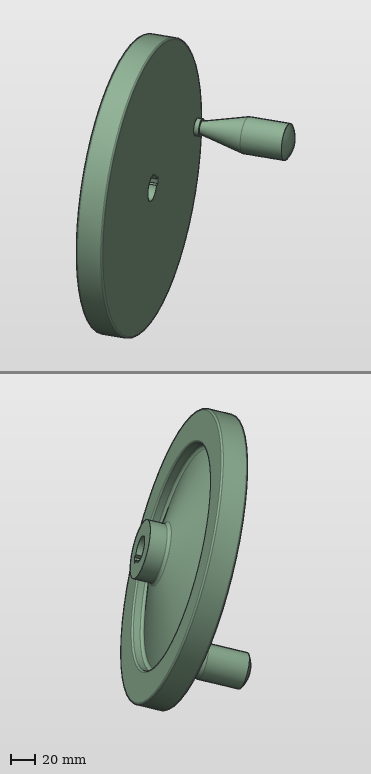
import cadquery as cq
import math


wheel_radius = 250.0 / 2
rim_front_x = 26.5
rim_back_x = 49.7
rim_edge_fillet = 1.5

dish_radius = 192.6 / 2
web_slope_degrees = 16
dish_corner_fillet = 2.5

hub_radius = 50.0 / 2
hub_length = 16.8
hub_root_fillet = 3.0
bore_diameter = 22.0
keyway_width = 6.0
keyway_reach = 14.0

handle_offset = 110.8
collar_radius = 14.8 / 2
collar_end_x = 54.0
neck_radius = 5.5
grip_radius = 31.0 / 2
grip_start_x = 93.0
grip_end_x = 128.5
handle_tip_x = 133.9


def revolve_about_x(profile):
    return profile.close().revolve(360, (0, 0, 0), (1, 0, 0))


def fillet_circle(body, x, radius, fillet):
    """Round the circular edge about the X axis at the given place and radius."""
    margin = 0.13
    edge_zone = cq.selectors.BoxSelector(
        (x - margin, -radius - margin, -radius - margin),
        (x + margin, radius + margin, radius + margin),
        boundingbox=True,
    )
    inner_zone = cq.selectors.BoxSelector(
        (x - margin, -radius + margin, -radius + margin),
        (x + margin, radius - margin, radius - margin),
        boundingbox=True,
    )
    return body.edges(edge_zone - inner_zone).fillet(fillet)


def make_wheel():
    web_slope = math.tan(math.radians(web_slope_degrees))
    dish_floor_x = hub_length + (dish_radius - hub_radius) * web_slope
    profile = (
        cq.Workplane("XY")
        .moveTo(0, 0)
        .lineTo(0, hub_radius)
        .lineTo(hub_length, hub_radius)
        .lineTo(dish_floor_x, dish_radius)
        .lineTo(rim_front_x, dish_radius)
        .lineTo(rim_front_x, wheel_radius)
        .lineTo(rim_back_x, wheel_radius)
        .lineTo(rim_back_x, 0)
    )
    wheel = revolve_about_x(profile)
    rounded_circles = (
        (hub_length, hub_radius, hub_root_fillet),
        (dish_floor_x, dish_radius, dish_corner_fillet),
        (rim_front_x, dish_radius, rim_edge_fillet),
        (rim_front_x, wheel_radius, rim_edge_fillet),
        (rim_back_x, wheel_radius, rim_edge_fillet),
    )
    for x, radius, fillet in rounded_circles:
        wheel = fillet_circle(wheel, x, radius, fillet)
    return wheel


def make_bore():
    bore = cq.Workplane("YZ").circle(bore_diameter / 2).extrude(rim_back_x)
    keyway = cq.Workplane("XY").box(
        rim_back_x, keyway_reach, keyway_width, centered=(False, False, True)
    )
    return bore.union(keyway)


def make_handle():
    cap_height = handle_tip_x - grip_end_x
    cap_radius = (grip_radius**2 + cap_height**2) / (2 * cap_height)
    half_angle = math.asin(grip_radius / cap_radius) / 2
    cap_middle = (
        handle_tip_x - cap_radius * (1 - math.cos(half_angle)),
        cap_radius * math.sin(half_angle),
    )
    profile = (
        cq.Workplane("XY")
        .moveTo(rim_back_x, 0)
        .lineTo(rim_back_x, collar_radius)
        .lineTo(collar_end_x, collar_radius)
        .lineTo(collar_end_x, neck_radius)
        .lineTo(grip_start_x, grip_radius)
        .lineTo(grip_end_x, grip_radius)
        .threePointArc(cap_middle, (handle_tip_x, 0))
    )
    return revolve_about_x(profile).translate((0, handle_offset, 0))


result = make_wheel().cut(make_bore()).union(make_handle())